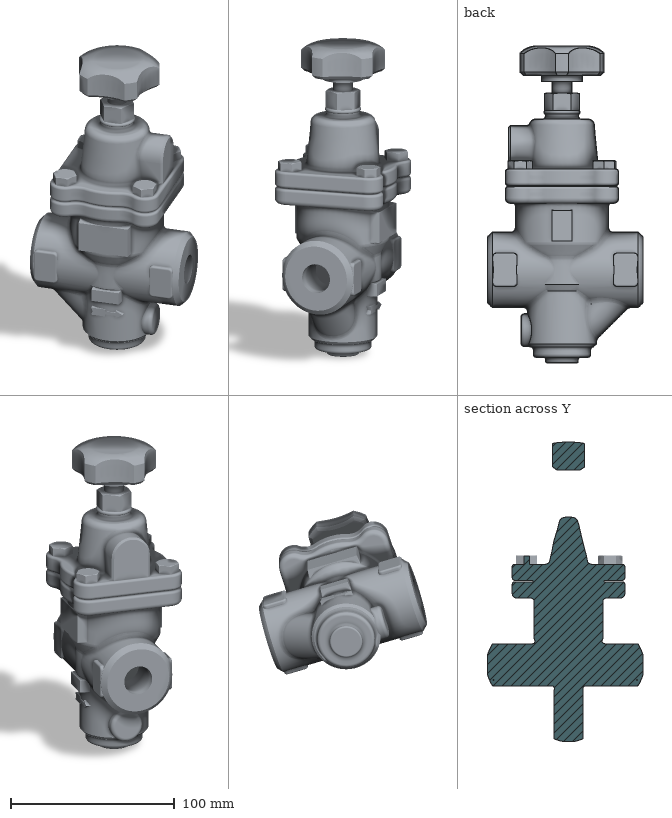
import cadquery as cq
import math


pipe_diameter = 46
pipe_inlet_x = -49.5
pipe_outlet_x = 45.5
pipe_chamfer = 3
port_diameter = 18
port_depth = 25

pad_width = 15
pad_height = 20.5
pad_face_y = 23.2
pad_end_gap = 3.2
pad_corner_radius = 2.5
pad_face_fillet = 1.1

flange_bottom_z = 40.6
upper_body_radius = 28.5
upper_body_bottom_z = 15.8
middle_body_radius = 23.5
middle_body_top_z = 7.2
middle_body_bottom_z = -9
lower_body_radius = 21
lower_body_top_z = -13
lower_body_bottom_z = -47
body_end_chamfer = 1.8
cone_edge_fillet = 4
body_pipe_fillet = 2.5
flange_root_fillet = 1.5

cap_radius = 17.5
cap_bottom_z = -53.4
cap_fillet = 1.9
plug_radius = 9.9
plug_bottom_z = -56.8
plug_root_fillet = 1.4
plug_end_fillet = 1

plate_depth = 10
plate_draft = 8
name_plate_width = 31.4
name_plate_bottom_z = 17.6
name_plate_top_z = 36.2
name_plate_face_y = 29
rear_plate_width = 12
tag_width = 17.2
tag_bottom_z = -17.6
tag_top_z = -10
tag_face_y = 24.9

arrow_z = -26.4
arrow_length = 20
arrow_tail_length = 9
arrow_head_length = 4.3
arrow_half_height = 2.4
arrow_shaft_half_height = 1
arrow_notch = 1
arrow_face_y = 21.4

side_boss_diameter = 20
side_boss_z = -36.8
side_boss_face_x = 25
side_boss_fillet = 2.2
passage_diameter = 28
passage_axis_reach = 43.7
passage_start_x = -32
passage_end_x = -8
passage_fillet = 4

bolt_offset = 25.5
lobe_radius = 9
bulge_radius = 33
blend_radius = 10.5
gasket_radius = 29
gasket_bottom_z = 50.8
gasket_top_z = 51.4
flange_top_z = 61.4
flange_edge_fillet = 1.5
flange_joint_fillet = 1.7
flange_bottom_fillet = 3

bolt_across_flats = 13
bolt_head_height = 5.3
bolt_head_chamfer = 0.5

bonnet_base_radius = 22.5
bonnet_shoulder_radius = 19.8
bonnet_shoulder_z = 87.9
bonnet_top_z = 92
bonnet_top_fillet = 4
bonnet_root_fillet = 1.8

bonnet_port_radius = 12.3
bonnet_port_z = 75.7
bonnet_port_face_x = 32.7
bonnet_port_chamfer = 1.2

gland_radius = 11
gland_bottom_z = 95
gland_top_z = 97.3
gland_neck_radius = 10.2
gland_root_fillet = 1.5
nut_across_flats = 18.7
nut_top_z = 108
nut_chamfer = 0.6
chamfer_cone_margin = 0.2
stem_diameter = 12
collar_diameter = 25
collar_bottom_z = 114.8

wheel_radius = 26
wheel_bottom_z = 118.7
wheel_top_z = 136.7
wheel_rim_z = 132
wheel_top_flat_radius = 14.7
wheel_bottom_chamfer = 2
wheel_lobes = 5
wheel_lobe_half_angle = 9
wheel_scallop_floor_radius = 21

overlap = 2
edge_margin = 0.1


def turned(points):
    """Solid of revolution about Z from (radius, z) points, closed along the axis."""
    return cq.Workplane("XZ").polyline(points).close().revolve(360, (0, 0, 0), (0, 1, 0))


def cylinder(radius, bottom_z, top_z):
    return cq.Workplane("XY").workplane(offset=bottom_z).circle(radius).extrude(top_z - bottom_z)


def root_ring(radius, face_z, fillet, direction):
    """Hollow fillet between a flat face at face_z and a cylinder leaving it up (1) or down (-1)."""
    end_z = face_z + direction * fillet
    bend = fillet * (1 - math.sqrt(0.5))
    return (
        cq.Workplane("XZ").moveTo(0, face_z)
        .lineTo(radius + fillet, face_z)
        .threePointArc((radius + bend, face_z + direction * bend), (radius, end_z))
        .lineTo(0, end_z)
        .close().revolve(360, (0, 0, 0), (0, 1, 0))
    )


def hex_prism(across_flats, bottom_z, top_z, chamfer, turn=0):
    """Hexagon with corners on X (before turning) and a conical chamfer on its top corners."""
    corner_radius = across_flats / math.sqrt(3)
    prism = cq.Workplane("XY").workplane(offset=bottom_z)
    prism = prism.polygon(6, 2 * corner_radius).extrude(top_z - bottom_z)
    cone = cylinder(corner_radius, bottom_z, top_z).faces(">Z").edges().chamfer(
        chamfer, corner_radius - across_flats / 2 + chamfer_cone_margin)
    return prism.intersect(cone).rotate((0, 0, 0), (0, 0, 1), turn)


def front_plate(width, bottom_z, top_z, face_y):
    """Flat plate on the -Y side of the body; its sides spread with the casting draft toward the body."""
    plane = cq.Plane(origin=(0, -face_y, (top_z + bottom_z) / 2), xDir=(-1, 0, 0), normal=(0, 1, 0))
    return cq.Workplane(plane).rect(width, top_z - bottom_z).extrude(plate_depth, taper=-plate_draft)


def polar(radius, degrees):
    angle = math.radians(degrees)
    return (radius * math.cos(angle), radius * math.sin(angle))


def make_body():
    """Turned body and pipe, rounded where they cross."""
    reach = upper_body_radius + overlap
    body = turned([
        (0, flange_bottom_z + overlap),
        (upper_body_radius, flange_bottom_z + overlap),
        (upper_body_radius, upper_body_bottom_z),
        (middle_body_radius, middle_body_top_z),
        (middle_body_radius, middle_body_bottom_z),
        (lower_body_radius, lower_body_top_z),
        (lower_body_radius, lower_body_bottom_z + body_end_chamfer),
        (lower_body_radius - body_end_chamfer, lower_body_bottom_z),
        (0, lower_body_bottom_z),
    ])
    cone_zone = cq.selectors.BoxSelector((-reach, -reach, middle_body_top_z - overlap),
                                         (reach, reach, upper_body_bottom_z + overlap))
    body = body.edges(cone_zone).edges("%CIRCLE").fillet(cone_edge_fillet)
    body = body.union(root_ring(upper_body_radius, flange_bottom_z, flange_root_fillet, -1))
    pipe = cq.Workplane("YZ").workplane(offset=pipe_inlet_x).circle(pipe_diameter / 2)
    pipe = pipe.extrude(pipe_outlet_x - pipe_inlet_x).faces("<X or >X").edges().chamfer(pipe_chamfer)
    outer_faces = body.union(pipe)
    crossing = cq.selectors.BoxSelector((-reach, -reach, -pipe_diameter / 2 - overlap),
                                        (reach, reach, pipe_diameter / 2 + overlap))
    seams = outer_faces.edges(crossing).edges("not %CIRCLE").edges("not %LINE")
    return outer_faces.newObject(seams.vals()).fillet(body_pipe_fillet)


def make_passage():
    """45 degree boss running from the inlet side of the pipe to the lower body."""
    length = (passage_end_x - passage_start_x) * math.sqrt(2)
    start = (passage_start_x, 0, -passage_axis_reach - passage_start_x)
    plane = cq.Plane(origin=start, xDir=(0, 1, 0), normal=(1, 0, -1))
    return cq.Workplane(plane).circle(passage_diameter / 2).extrude(length)


def make_side_boss():
    boss = cq.Workplane("YZ").center(0, side_boss_z).circle(side_boss_diameter / 2)
    return boss.extrude(side_boss_face_x).faces(">X").edges().fillet(side_boss_fillet)


def make_wrench_pad(center_x):
    pad = cq.Workplane("XY").box(pad_width, 2 * pad_face_y, pad_height)
    pad = pad.edges("|Y").fillet(pad_corner_radius)
    pad = pad.faces("<Y or >Y").edges().fillet(pad_face_fillet)
    return pad.translate((center_x, 0, 0))


def make_arrow():
    tail_x = -arrow_length / 2
    shaft_x = tail_x + arrow_tail_length
    head_x = arrow_length / 2 - arrow_head_length
    upper = [
        (tail_x, arrow_half_height),
        (shaft_x, arrow_half_height),
        (shaft_x, arrow_shaft_half_height),
        (head_x, arrow_shaft_half_height),
        (head_x, arrow_half_height),
    ]
    lower = [(x, -z) for x, z in reversed(upper)]
    outline = upper + [(arrow_length / 2, 0)] + lower + [(tail_x + arrow_notch, 0)]
    return cq.Workplane("XZ", origin=(0, 0, arrow_z)).polyline(outline).close().extrude(arrow_face_y)


def make_bottom_cap():
    cap = cylinder(cap_radius, cap_bottom_z, lower_body_bottom_z + overlap)
    cap = cap.faces("<Z").edges().fillet(cap_fillet)
    plug = cylinder(plug_radius, plug_bottom_z, cap_bottom_z + overlap)
    plug = plug.faces("<Z").edges().fillet(plug_end_fillet)
    cap_root = root_ring(cap_radius, lower_body_bottom_z, cap_fillet, -1)
    plug_root = root_ring(plug_radius, cap_bottom_z, plug_root_fillet, -1)
    return cap.union(plug).union(cap_root).union(plug_root)


def blend_center():
    """Center, in the +X +Y quadrant, of the hollow arc tangent to the bulge and a bolt lobe."""
    bulge_reach = bulge_radius + blend_radius
    lobe_reach = lobe_radius + blend_radius
    bolt_distance = bolt_offset * math.sqrt(2)
    cosine = (bulge_reach**2 + bolt_distance**2 - lobe_reach**2) / (2 * bulge_reach * bolt_distance)
    return polar(bulge_reach, 45 + math.degrees(math.acos(cosine)))


def make_flange(bottom_z, top_z):
    cx, cy = blend_center()
    bulge_share = bulge_radius / (bulge_radius + blend_radius)
    bulge_end = (cx * bulge_share, cy * bulge_share)
    lobe_share = lobe_radius / (lobe_radius + blend_radius)
    lobe_end = (bolt_offset + (cx - bolt_offset) * lobe_share, bolt_offset + (cy - bolt_offset) * lobe_share)
    to_middle = (bulge_end[0] + lobe_end[0]) / 2 - cx, (bulge_end[1] + lobe_end[1]) / 2 - cy
    scale_to_arc = blend_radius / math.hypot(*to_middle)
    blend_mid = (cx + to_middle[0] * scale_to_arc, cy + to_middle[1] * scale_to_arc)
    lobe_angle = math.degrees(math.atan2(lobe_end[1] - bolt_offset, lobe_end[0] - bolt_offset))
    lobe_dx, lobe_dy = polar(lobe_radius, lobe_angle / 2)
    lobe_mid = (bolt_offset + lobe_dx, bolt_offset + lobe_dy)
    side_x = bolt_offset + lobe_radius

    def flip(point, sign_x, sign_y):
        return (point[0] * sign_x, point[1] * sign_y)

    outline = cq.Workplane("XY").workplane(offset=bottom_z).moveTo(side_x, -bolt_offset)
    for sign in (1, -1):
        outline = (
            outline.lineTo(sign * side_x, sign * bolt_offset)
            .threePointArc(flip(lobe_mid, sign, sign), flip(lobe_end, sign, sign))
            .threePointArc(flip(blend_mid, sign, sign), flip(bulge_end, sign, sign))
            .threePointArc((0, sign * bulge_radius), flip(bulge_end, -sign, sign))
            .threePointArc(flip(blend_mid, -sign, sign), flip(lobe_end, -sign, sign))
            .threePointArc(flip(lobe_mid, -sign, sign), (-sign * side_x, sign * bolt_offset))
        )
    return outline.close().extrude(top_z - bottom_z)


def make_flanges():
    lower = make_flange(flange_bottom_z, gasket_bottom_z)
    lower = lower.faces("<Z").edges().fillet(flange_bottom_fillet)
    lower = lower.faces(">Z").edges().fillet(flange_joint_fillet)
    upper = make_flange(gasket_top_z, flange_top_z)
    upper = upper.faces("<Z").edges().fillet(flange_joint_fillet)
    upper = upper.faces(">Z").edges().fillet(flange_edge_fillet)
    gasket = cylinder(gasket_radius, gasket_bottom_z, gasket_top_z)
    return lower.union(gasket).union(upper)


def make_bolts():
    bolts = cq.Workplane("XY")
    for sign_x in (1, -1):
        for sign_y in (1, -1):
            turn = 0 if sign_x == sign_y else 30
            head = hex_prism(bolt_across_flats, flange_top_z - overlap, flange_top_z + bolt_head_height,
                             bolt_head_chamfer, turn)
            bolts = bolts.union(head.translate((sign_x * bolt_offset, sign_y * bolt_offset, 0)))
    return bolts


def make_bonnet():
    draft = (bonnet_base_radius - bonnet_shoulder_radius) / (bonnet_shoulder_z - flange_top_z)
    top_radius = bonnet_shoulder_radius - draft * (bonnet_top_z - bonnet_shoulder_z)
    cone = turned([
        (0, flange_top_z - overlap),
        (bonnet_base_radius, flange_top_z - overlap),
        (bonnet_base_radius, flange_top_z),
        (top_radius, bonnet_top_z),
        (0, bonnet_top_z),
    ])
    return cone.rotate((0, 0, 0), (0, 0, 1), 180)


def make_bonnet_port():
    """Arched boss on the +X side, standing on the flange."""
    foot_z = flange_top_z - overlap
    port = (
        cq.Workplane("YZ").moveTo(-bonnet_port_radius, foot_z)
        .lineTo(-bonnet_port_radius, bonnet_port_z)
        .threePointArc((0, bonnet_port_z + bonnet_port_radius), (bonnet_port_radius, bonnet_port_z))
        .lineTo(bonnet_port_radius, foot_z)
        .close().extrude(bonnet_port_face_x)
    )
    return port.faces(">X").edges("not <Z").chamfer(bonnet_port_chamfer)


def make_top():
    """Flanges and bonnet, with the bonnet, its port and the flange rounded into each other."""
    top = make_flanges().union(make_bonnet()).union(make_bonnet_port())
    reach = bonnet_base_radius + overlap
    foot = cq.selectors.BoxSelector((-reach, -reach, flange_top_z - edge_margin),
                                    (bonnet_port_face_x - overlap, reach, flange_top_z + edge_margin))
    port_seam = cq.selectors.BoxSelector(
        (bonnet_port_radius, -bonnet_port_radius, flange_top_z + edge_margin),
        (bonnet_base_radius, bonnet_port_radius, bonnet_port_z + bonnet_port_radius))
    top = top.edges(foot + port_seam).fillet(bonnet_root_fillet)
    return top.faces(">Z").edges().fillet(bonnet_top_fillet)


def make_stem():
    gland = (
        cq.Workplane("XZ").moveTo(0, gland_bottom_z)
        .lineTo(gland_neck_radius, gland_bottom_z)
        .threePointArc((gland_radius, (gland_bottom_z + gland_top_z) / 2), (gland_neck_radius, gland_top_z))
        .lineTo(0, gland_top_z)
        .close().revolve(360, (0, 0, 0), (0, 1, 0))
    )
    neck = cylinder(gland_neck_radius, bonnet_top_z - overlap, gland_bottom_z)
    neck = neck.union(root_ring(gland_neck_radius, bonnet_top_z, gland_root_fillet, 1))
    nut = hex_prism(nut_across_flats, gland_top_z, nut_top_z, nut_chamfer)
    stem = cylinder(stem_diameter / 2, nut_top_z, collar_bottom_z)
    collar = cylinder(collar_diameter / 2, collar_bottom_z, wheel_bottom_z + overlap)
    return neck.union(gland).union(nut).union(stem).union(collar)


def make_handwheel():
    crown_run = wheel_radius - wheel_top_flat_radius
    crown_drop = wheel_top_z - wheel_rim_z
    crown_radius = (crown_run**2 + crown_drop**2) / (2 * crown_drop)
    half_sweep = math.atan2(crown_drop, crown_run)
    crown_mid = (
        wheel_top_flat_radius + crown_radius * math.sin(half_sweep),
        wheel_top_z - crown_radius * (1 - math.cos(half_sweep)),
    )
    wheel = (
        cq.Workplane("XZ").moveTo(0, wheel_bottom_z)
        .lineTo(wheel_radius, wheel_bottom_z)
        .lineTo(wheel_radius, wheel_rim_z)
        .threePointArc(crown_mid, (wheel_top_flat_radius, wheel_top_z))
        .lineTo(0, wheel_top_z)
        .close().revolve(360, (0, 0, 0), (0, 1, 0))
    )
    pitch = 360 / wheel_lobes
    half_gap = math.radians(pitch / 2 - wheel_lobe_half_angle)
    half_chord = wheel_radius * math.sin(half_gap)
    sag = wheel_radius * math.cos(half_gap) - wheel_scallop_floor_radius
    scallop_radius = (half_chord**2 + sag**2) / (2 * sag)
    for index in range(wheel_lobes):
        x, y = polar(wheel_scallop_floor_radius + scallop_radius, -90 + index * pitch)
        wheel = wheel.cut(cylinder(scallop_radius, wheel_bottom_z, wheel_top_z).translate((x, y, 0)))
    return wheel.faces("<Z").edges().chamfer(wheel_bottom_chamfer)


def make_valve():
    inlet_zone = cq.selectors.BoxSelector((pipe_inlet_x, -lower_body_radius, -pipe_diameter / 2),
                                          (-lower_body_radius, lower_body_radius, -pipe_diameter / 4))
    valve = make_body().union(make_passage())
    valve = valve.edges(inlet_zone).edges("not %LINE").fillet(passage_fillet)
    pad_inset = pad_end_gap + pad_width / 2
    parts = [
        make_top(),
        make_bolts(),
        make_stem(),
        make_handwheel(),
        make_bottom_cap(),
        make_side_boss(),
        make_wrench_pad(pipe_inlet_x + pad_inset),
        make_wrench_pad(pipe_outlet_x - pad_inset),
        front_plate(name_plate_width, name_plate_bottom_z, name_plate_top_z, name_plate_face_y),
        front_plate(rear_plate_width, name_plate_bottom_z, name_plate_top_z, name_plate_face_y).mirror("XZ"),
        front_plate(tag_width, tag_bottom_z, tag_top_z, tag_face_y),
        make_arrow(),
    ]
    for part in parts:
        valve = valve.union(part)
    port = cq.Workplane("YZ").circle(port_diameter / 2).extrude(port_depth)
    valve = valve.cut(port.translate((pipe_inlet_x, 0, 0)))
    return valve.cut(port.translate((pipe_outlet_x - port_depth, 0, 0)))


result = make_valve()